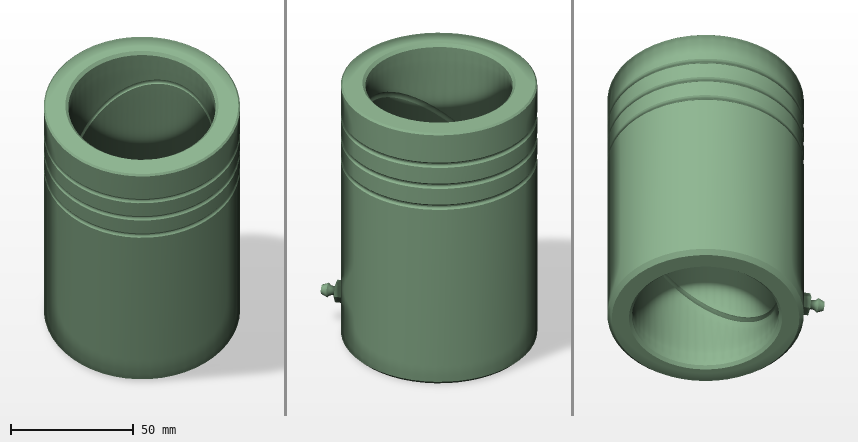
import cadquery as cq
import math

LENGTH = 120
OUTER_RADIUS = LENGTH / 3
BORE_RADIUS = 30
TOP_CHAMFER = 0.7
BOTTOM_CHAMFER = 1.8
BORE_CHAMFER = 1.2

RING_COUNT = 3
TOP_RING_Z = 105.0
RING_PITCH = LENGTH / 12
RING_WIDTH = 2.5
RING_DEPTH = 1.0
RING_FLOOR = RING_WIDTH - 2 * RING_DEPTH

NIPPLE_Z = 15.0
HEX_FLATS = LENGTH / 15
HEX_HEIGHT = 3.0
NIPPLE_HEIGHT = 9.0
NECK_RADIUS = 1.9
NECK_TOP = 4.3
HEAD_RADIUS = 3.0
HEAD_BASE = 6.4

LUBE_RADIUS = 1.2
LOOP_RISE = (LENGTH / 2 - NIPPLE_Z) / 2


def ring_groove(z):
    """Trapezoidal ring cutter centred at height z."""
    floor_radius = OUTER_RADIUS - RING_DEPTH
    return (
        cq.Workplane("XZ")
        .moveTo(OUTER_RADIUS, z - RING_WIDTH / 2)
        .lineTo(floor_radius, z - RING_FLOOR / 2)
        .lineTo(floor_radius, z + RING_FLOOR / 2)
        .lineTo(OUTER_RADIUS, z + RING_WIDTH / 2)
        .close()
        .revolve(360, (0, 0, 0), (0, 1, 0))
    )


def lube_loop(side):
    """Round cutter along a tilted ellipse on the bore wall; side is +1 (upper) or -1 (lower)."""
    center = (0, 0, LENGTH / 2 + side * LOOP_RISE)
    long_axis = (0, BORE_RADIUS, side * LOOP_RISE)
    plane = cq.Plane(origin=center, xDir=long_axis, normal=(0, -side * LOOP_RISE, BORE_RADIUS))
    path = cq.Workplane(plane).ellipse(math.hypot(BORE_RADIUS, LOOP_RISE), BORE_RADIUS)
    start = path.val().startPoint()
    section = cq.Plane(origin=start.toTuple(), xDir=plane.xDir, normal=plane.yDir)
    return cq.Workplane(section).circle(LUBE_RADIUS).sweep(path)


def make_sleeve():
    sleeve = cq.Workplane("XY").circle(OUTER_RADIUS).extrude(LENGTH)
    sleeve = sleeve.faces(">Z").chamfer(TOP_CHAMFER)
    sleeve = sleeve.faces("<Z").chamfer(BOTTOM_CHAMFER)
    bore = cq.Workplane("XY").circle(BORE_RADIUS).extrude(LENGTH)
    sleeve = sleeve.cut(bore)
    sleeve = sleeve.faces("<Z or >Z").edges(cq.selectors.RadiusNthSelector(0)).chamfer(BORE_CHAMFER)
    for index in range(RING_COUNT):
        sleeve = sleeve.cut(ring_groove(TOP_RING_Z - index * RING_PITCH))
    for side in (1, -1):
        sleeve = sleeve.cut(lube_loop(side))
    return sleeve


def make_nipple():
    """Hexagon seated on the sleeve's outer wall, with a turned neck and head."""
    corner_diameter = HEX_FLATS / math.cos(math.pi / 6)
    seat_depth = OUTER_RADIUS - math.sqrt(OUTER_RADIUS**2 - (corner_diameter / 2) ** 2)
    seat = cq.Plane(origin=(0, OUTER_RADIUS - seat_depth, NIPPLE_Z), xDir=(1, 0, 0), normal=(0, 1, 0))
    hexagon = cq.Workplane(seat).polygon(6, corner_diameter).extrude(seat_depth + HEX_HEIGHT)
    wall = cq.Workplane("XY").circle(OUTER_RADIUS).extrude(LENGTH)
    hexagon = hexagon.cut(wall)

    profile = cq.Plane(origin=(0, OUTER_RADIUS, NIPPLE_Z), xDir=(1, 0, 0), normal=(0, 0, 1))
    turned = (
        cq.Workplane(profile)
        .moveTo(0, HEX_HEIGHT)
        .lineTo(NECK_RADIUS, HEX_HEIGHT)
        .lineTo(NECK_RADIUS, NECK_TOP)
        .tangentArcPoint((HEAD_RADIUS, HEAD_BASE), relative=False)
        .lineTo(NECK_RADIUS, NIPPLE_HEIGHT)
        .lineTo(0, NIPPLE_HEIGHT)
        .close()
        .revolve(360, (0, 0, 0), (0, 1, 0))
    )
    return hexagon.union(turned)


sleeve = make_sleeve()
nipple = make_nipple()
result = cq.Compound.makeCompound([sleeve.solids().val(), nipple.solids().val()])